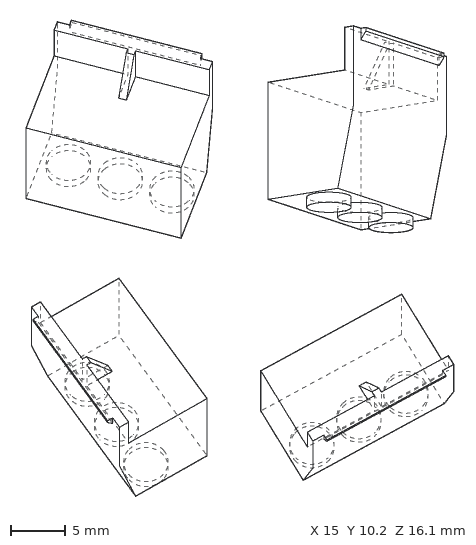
import cadquery as cq
import math

WIDTH = 15.0
OVERALL_DEPTH = 10.16
OVERALL_HEIGHT = 16.1
PIN_HEIGHT = 0.95
WALL_HEIGHT = 4.05
TOP_Z = OVERALL_HEIGHT - PIN_HEIGHT
SHOULDER_Z = TOP_Z - WALL_HEIGHT

LIP_OVERHANG = 0.56
WALL_THICKNESS = 1.0
BACK_Y = OVERALL_DEPTH - LIP_OVERHANG
WALL_FRONT_Y = BACK_Y - WALL_THICKNESS
TAPER_HEIGHT = 7.65
TAPER_ANGLE = 13.0
BOTTOM_BACK_Y = BACK_Y - TAPER_HEIGHT * math.tan(math.radians(TAPER_ANGLE))

LIP_WIDTH = 12.65
LIP_EDGE_HEIGHT = 0.35
LIP_ROOT_HEIGHT = 1.1

RIB_WIDTH = 0.75
RIB_TOP_LENGTH = 0.45
RIB_ANGLE = 30.0
RIB_TOP_Y = WALL_FRONT_Y - RIB_TOP_LENGTH
RIB_FOOT_Y = RIB_TOP_Y - WALL_HEIGHT * math.tan(math.radians(RIB_ANGLE))

PIN_DIAMETER = 4.1
PIN_COUNT = 3
PIN_PITCH = 5.0
PIN_Y = 5.1


def extrude_along_x(profile, width):
    """Extrude a closed (Y, Z) outline along X, centred on X = 0."""
    return cq.Workplane("YZ").polyline(profile).close().extrude(width / 2, both=True)


def make_body():
    return extrude_along_x(
        [
            (0, 0),
            (BOTTOM_BACK_Y, 0),
            (BACK_Y, TAPER_HEIGHT),
            (BACK_Y, TOP_Z),
            (WALL_FRONT_Y, TOP_Z),
            (WALL_FRONT_Y, SHOULDER_Z),
            (0, SHOULDER_Z),
        ],
        WIDTH,
    )


def make_lip():
    return extrude_along_x(
        [
            (WALL_FRONT_Y, TOP_Z),
            (OVERALL_DEPTH, TOP_Z),
            (OVERALL_DEPTH, TOP_Z - LIP_EDGE_HEIGHT),
            (BACK_Y, TOP_Z - LIP_ROOT_HEIGHT),
            (WALL_FRONT_Y, TOP_Z - LIP_ROOT_HEIGHT),
        ],
        LIP_WIDTH,
    )


def make_rib():
    return extrude_along_x(
        [
            (RIB_FOOT_Y, SHOULDER_Z),
            (BACK_Y, SHOULDER_Z),
            (BACK_Y, TOP_Z),
            (RIB_TOP_Y, TOP_Z),
        ],
        RIB_WIDTH,
    )


def make_pins():
    first_x = -PIN_PITCH * (PIN_COUNT - 1) / 2
    centres = [(first_x + i * PIN_PITCH, PIN_Y) for i in range(PIN_COUNT)]
    return cq.Workplane("XY").pushPoints(centres).circle(PIN_DIAMETER / 2).extrude(-PIN_HEIGHT)


result = make_body().union(make_lip()).union(make_rib()).union(make_pins()).clean()